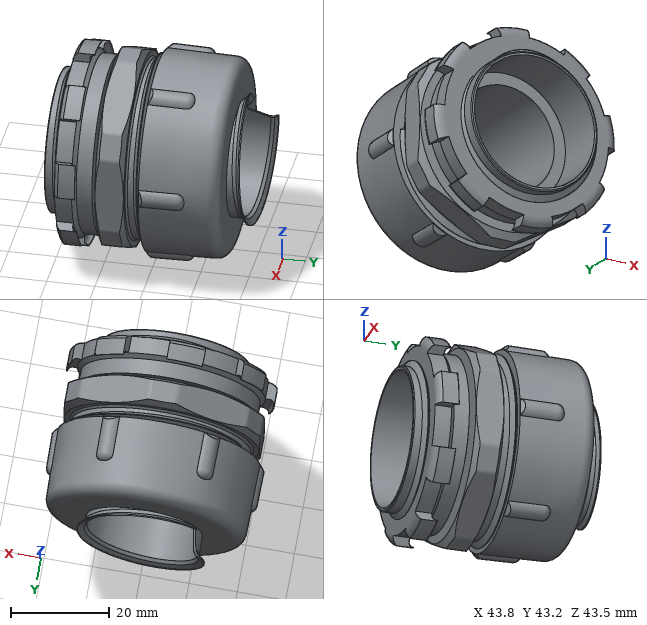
import cadquery as cq
import math


SPIGOT_R = 30.1 / 2
SPIGOT_TIP_R = 29.5 / 2
TIP_CHAMFER = 0.18
COUNTERBORE_R = 28.6 / 2
COUNTERBORE_DEPTH = 11.4
BORE_R = 23.3 / 2

NUT_FRONT = 3.08
NUT_BACK = 6.6
NUT_R = 19.5
LUG_COUNT = 8
LUG_FIRST_ANGLE = 8.0
LUG_SPAN = 20.0
LUG_R = 21.53
LUG_BACK = 7.6
LUG_ROUND = 1.05
LUG_TIP = 0.18
LUG_HOOK_R = LUG_BACK - NUT_BACK

SEAL_R = 37.2 / 2
SEAL_FRONT = 7.42
SEAL_BACK = 10.67

HEX_FRONT = 11.6
HEX_BACK = 17.6
HEX_FLAT_R = 20.25
HEX_CORNER_R = 21.75
HEX_BLEND_R = 1.75
HEX_FACE_R = 20.1
HEX_CHAMFER_DEPTH = 0.92
HEX_CONE_R = 21.9
NECK_CHAMFER = 0.45

BODY_R = 37.2 / 2

CAP_FRONT = 20.8
CAP_BACK = 37.3
CAP_FRONT_R = 21.0
CAP_BACK_R = 20.7
CAP_FILLET = 2.4

RIB_COUNT = 6
RIB_FIRST_ANGLE = 2.0
RIB_R = 21.95
RIB_SECTION_R = 2.3
RIB_BACK = 30.35
RIB_END_FILLET = 1.6
RIB_CHAMFER = 0.9

FIN_PITCH = 1.98
FIN_HEIGHT = 1.35
FIN_HALF_BASE = 1.05
FIN_HALF_CREST = 0.1
FIN_ROOT_DEPTH = 0.2
FIN_START_SINK = 0.1
FIN_START_HALF_BASE = 0.3
FRONT_FIN_START = 127.0
FRONT_FIN_RUN_IN = 36.0
FRONT_FIN_TOP_Y = 2.15
REAR_FIN_START = 156.0
REAR_FIN_RUN_IN = 40.0
REAR_FIN_TOP_Y = 19.72
FIN_TURN = 340.0

FERRULE_R = 24.1 / 2
LIP_R = 13.4
FERRULE_INNER_STOCK = 0.2
LIP_THICKNESS = 0.25
FLARE_LENGTH = 1.75
FLARE_BEND_R = 12.5
FLARE_BEND_DEPTH = 0.9
FLARE_INNER_DEPTH = 0.65
FERRULE_PITCH = 5.15
FERRULE_START = 147.0
FERRULE_TURN = 358.0
FERRULE_BACK = 43.45
FERRULE_DEPTH = 7.25

SLIT_POINTS = [(CAP_BACK, 5.7), (43.15, 3.3), (43.95, 3.3), (43.95, 7.7), (CAP_BACK, 6.8)]

SECTION_STEP = 15.0


def around_y(shape, angle):
    """Turn a shape from +X to the given angle about the Y axis."""
    return shape.rotate((0, 0, 0), (0, 1, 0), -angle)


def revolved(points):
    """Revolve an outline of (radius, y) points about the Y axis."""
    return cq.Workplane("XY").polyline(points).close().revolve(360, (0, 0), (0, 1))


def disc(radius, front, back):
    """Solid cylinder along Y."""
    return revolved([(0, front), (radius, front), (radius, back), (0, back)])


def helical_loft(section_at, start, turn):
    """Loft (radius, y) sections at steps of angle from start through turn."""
    steps = math.ceil(abs(turn) / SECTION_STEP)
    wires = []
    for i in range(steps + 1):
        swept = turn * i / steps
        wire = cq.Wire.makePolygon([cq.Vector(r, y, 0) for r, y in section_at(abs(swept))], close=True)
        wires.append(around_y(wire, start + swept))
    return cq.Workplane(cq.Solid.makeLoft(wires))


def spigot():
    """Spigot with a chamfered tip, running back to the hexagon."""
    return revolved([
        (0, 0),
        (SPIGOT_TIP_R, 0),
        (SPIGOT_R, TIP_CHAMFER),
        (SPIGOT_R, HEX_FRONT - NECK_CHAMFER),
        (SPIGOT_R + NECK_CHAMFER, HEX_FRONT),
        (0, HEX_FRONT),
    ])


def locknut():
    """Ring whose back slopes in to the sealing ring, with hooked lugs around it."""
    nut = revolved([
        (0, NUT_FRONT),
        (NUT_R, NUT_FRONT),
        (NUT_R, NUT_BACK),
        (SEAL_R, SEAL_FRONT),
        (0, SEAL_FRONT),
    ])
    tip_r = LUG_R - LUG_TIP
    lug = (
        cq.Workplane("XY")
        .moveTo(SPIGOT_R, NUT_FRONT)
        .lineTo(NUT_R, NUT_FRONT)
        .tangentArcPoint((LUG_R, NUT_FRONT + LUG_ROUND), relative=False)
        .lineTo(LUG_R, LUG_BACK)
        .lineTo(tip_r, LUG_BACK)
        .radiusArc((tip_r - LUG_HOOK_R, NUT_BACK), LUG_HOOK_R)
        .lineTo(SPIGOT_R, NUT_BACK)
        .close()
        .revolve(LUG_SPAN, (0, 0), (0, 1))
    )
    for i in range(LUG_COUNT):
        centre = LUG_FIRST_ANGLE + i * 360 / LUG_COUNT
        nut = nut.union(around_y(lug, centre + LUG_SPAN / 2))
    return nut


def hexagon():
    """Hexagon with truncated, blended corners and coned faces."""
    length = HEX_BACK - HEX_FRONT

    def prism(flat_radius):
        across_corners = 2 * flat_radius / math.cos(math.pi / 6)
        return cq.Workplane("XZ", origin=(0, HEX_BACK, 0)).polygon(6, across_corners).extrude(length)

    body = around_y(prism(HEX_FLAT_R), 30).intersect(prism(HEX_CORNER_R))
    body = body.edges("|Y").fillet(HEX_BLEND_R)
    cones = revolved([
        (0, HEX_FRONT),
        (HEX_FACE_R, HEX_FRONT),
        (HEX_CONE_R, HEX_FRONT + HEX_CHAMFER_DEPTH),
        (HEX_CONE_R, HEX_BACK - HEX_CHAMFER_DEPTH),
        (HEX_FACE_R, HEX_BACK),
        (0, HEX_BACK),
    ])
    return body.intersect(cones)


def rear_body():
    """Threaded body between the hexagon and the cap."""
    return revolved([
        (0, HEX_BACK),
        (BODY_R + NECK_CHAMFER, HEX_BACK),
        (BODY_R, HEX_BACK + NECK_CHAMFER),
        (BODY_R, CAP_FRONT),
        (0, CAP_FRONT),
    ])


def cap():
    """Slightly tapered cap with a rounded back edge and grip ribs."""
    body = revolved([
        (0, CAP_FRONT),
        (CAP_FRONT_R, CAP_FRONT),
        (CAP_BACK_R, CAP_BACK),
        (0, CAP_BACK),
    ]).faces(">Y").edges().fillet(CAP_FILLET)

    draft = math.degrees(math.atan((CAP_FRONT_R - CAP_BACK_R) / (CAP_BACK - CAP_FRONT)))
    rib_axis_r = RIB_R - RIB_SECTION_R
    rib = (
        cq.Workplane("XZ", origin=(rib_axis_r, RIB_BACK, 0))
        .circle(RIB_SECTION_R)
        .extrude(RIB_BACK - CAP_FRONT)
        .faces(">Y").edges().fillet(RIB_END_FILLET)
        .rotate((rib_axis_r, CAP_FRONT, 0), (rib_axis_r, CAP_FRONT, 1), draft)
    )
    rib_limit = revolved([
        (0, CAP_FRONT),
        (RIB_R - RIB_CHAMFER, CAP_FRONT),
        (RIB_R, CAP_FRONT + RIB_CHAMFER),
        (RIB_R, RIB_BACK),
        (0, RIB_BACK),
    ])
    rib = rib.intersect(rib_limit)
    for i in range(RIB_COUNT):
        body = body.union(around_y(rib, RIB_FIRST_ANGLE + i * 360 / RIB_COUNT))
    return body


def thread_fin(core_r, start, run_in, top_y):
    """Single thread ridge that rises from the core and passes the top at top_y."""
    start_y = top_y - FIN_PITCH * (start - 90) / 360

    def section(swept):
        rise = min(1, swept / run_in)
        y = start_y + FIN_PITCH * swept / 360
        root_r = core_r - FIN_ROOT_DEPTH
        crest_r = core_r - FIN_START_SINK + (FIN_HEIGHT + FIN_START_SINK) * rise
        half_base = FIN_START_HALF_BASE + (FIN_HALF_BASE - FIN_START_HALF_BASE) * rise
        return [
            (root_r, y - half_base),
            (crest_r, y - FIN_HALF_CREST),
            (crest_r, y + FIN_HALF_CREST),
            (root_r, y + half_base),
        ]

    return helical_loft(section, start, -FIN_TURN)


def ferrule():
    """Flared ferrule wall with a helical back edge and a slanted slit."""
    stock_r = BORE_R - FERRULE_INNER_STOCK

    def section(swept):
        y = FERRULE_BACK - FERRULE_PITCH * swept / 360
        return [
            (stock_r, y - FERRULE_DEPTH),
            (FERRULE_R, y - FERRULE_DEPTH),
            (FERRULE_R, y - FLARE_LENGTH),
            (FLARE_BEND_R, y - FLARE_BEND_DEPTH),
            (LIP_R, y - LIP_THICKNESS),
            (LIP_R, y),
            (FERRULE_R, y - FLARE_INNER_DEPTH),
            (stock_r, y - FLARE_LENGTH),
        ]

    wall = helical_loft(section, FERRULE_START, FERRULE_TURN)
    slit = (
        cq.Workplane("YZ")
        .polyline(SLIT_POINTS)
        .close()
        .extrude(-2 * LIP_R)
    )
    return wall.cut(slit)


gland = spigot().union(locknut()).union(disc(SEAL_R, SEAL_FRONT, SEAL_BACK))
gland = gland.union(hexagon()).union(rear_body()).union(cap())
gland = gland.union(thread_fin(SPIGOT_R, FRONT_FIN_START, FRONT_FIN_RUN_IN, FRONT_FIN_TOP_Y))
gland = gland.union(thread_fin(BODY_R, REAR_FIN_START, REAR_FIN_RUN_IN, REAR_FIN_TOP_Y))
gland = gland.union(ferrule())
gland = gland.cut(disc(BORE_R, 0, FERRULE_BACK))
result = gland.cut(disc(COUNTERBORE_R, 0, COUNTERBORE_DEPTH))